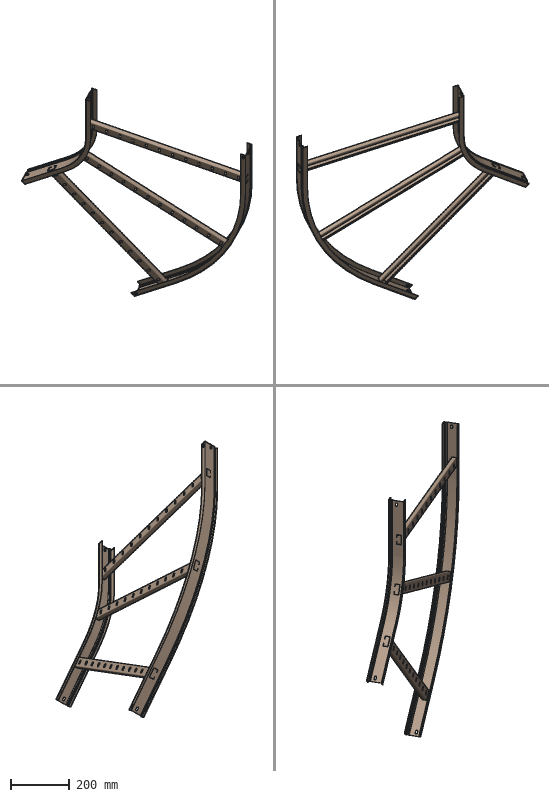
import cadquery as cq
import math


BEND_ANGLE = 45.0
INNER_RADIUS = 300.0
LADDER_WIDTH = 600.85
OUTER_RADIUS = INNER_RADIUS + LADDER_WIDTH
LEG_LENGTH = 216.65

RAIL_HEIGHT = 55.0
RAIL_BACK = RAIL_HEIGHT / 2
RAIL_FRONT = -RAIL_HEIGHT / 2
FLANGE_WIDTH = 18.5
SHEET = 2.0

GROOVE_DEPTH = 3.5
GROOVE_START = 3.0
GROOVE_END = 13.0

END_HOLE_WIDTH = 7.0
END_HOLE_LENGTH = 13.0
END_HOLE_SETBACK = 15.0
END_HOLE_Y = -1.0
LOW_HOLE_Y = -9.0

RUNG_WIDTH = 37.0
RUNG_DEPTH = 18.0
RUNG_SHEET = 1.0
RUNG_LIP = 10.0
RUNG_BEND_RADIUS = 3.0
RUNG_FRONT = RAIL_FRONT + 8.5
RUNG_BACK = RUNG_FRONT + RUNG_DEPTH
RUNG_SETBACK = 150.0
RUNG_OFFSET = LEG_LENGTH - RUNG_SETBACK

SLOT_COUNT = 12
SLOT_PITCH = 49.5
FIRST_SLOT = 26.0
SLOT_WIDTH = 8.0
SLOT_LENGTH = 15.0

CUT_REACH = 4.0
GROOVE_WALL_ANGLE = 45.0


def turn(body, angle):
    """Swing a body around the bend axis, clockwise seen from -Y."""
    return body.rotate((0, 0, 0), (0, 1, 0), angle)


def rail_profile(radius, inward):
    """Channel section on the XY plane: web at X = radius, flanges pointing along `inward` (+1 or -1)."""
    mouth_back = RAIL_BACK - GROOVE_START
    mouth_front = RAIL_BACK - GROOVE_END
    floor_back = mouth_back - GROOVE_DEPTH
    floor_front = mouth_front + GROOVE_DEPTH
    shift = SHEET * math.tan(math.radians(GROOVE_WALL_ANGLE / 2))
    outside = [
        (FLANGE_WIDTH, RAIL_FRONT),
        (0, RAIL_FRONT),
        (0, mouth_front),
        (GROOVE_DEPTH, floor_front),
        (GROOVE_DEPTH, floor_back),
        (0, mouth_back),
        (0, RAIL_BACK),
        (FLANGE_WIDTH, RAIL_BACK),
    ]
    inside = [
        (FLANGE_WIDTH, RAIL_BACK - SHEET),
        (SHEET, RAIL_BACK - SHEET),
        (SHEET, mouth_back + shift),
        (GROOVE_DEPTH + SHEET, floor_back + shift),
        (GROOVE_DEPTH + SHEET, floor_front - shift),
        (SHEET, mouth_front - shift),
        (SHEET, RAIL_FRONT + SHEET),
        (FLANGE_WIDTH, RAIL_FRONT + SHEET),
    ]
    points = [(radius + inward * depth, y) for depth, y in outside + inside]
    return cq.Workplane("XY").polyline(points).close()


def web_hole(radius, hole_y):
    """Cutter for the slotted hole through the web near the free end of the upper leg."""
    hole_z = LEG_LENGTH - END_HOLE_SETBACK
    return (
        cq.Workplane("YZ", origin=(radius, hole_y, hole_z))
        .slot2D(END_HOLE_LENGTH, END_HOLE_WIDTH, 90)
        .extrude(CUT_REACH, both=True)
    )


def flange_hole(radius, inward):
    """Cutter for the slotted hole through the front flange near the free end of the upper leg."""
    hole_x = radius + inward * FLANGE_WIDTH / 2
    hole_z = LEG_LENGTH - END_HOLE_SETBACK
    return (
        cq.Workplane("XZ", origin=(hole_x, RAIL_FRONT, hole_z))
        .slot2D(END_HOLE_LENGTH, END_HOLE_WIDTH, 90)
        .extrude(CUT_REACH, both=True)
    )


def mirrored_at_bend(body):
    """The same body on the lower leg: mirrored end for end and swung round the bend."""
    return turn(body.mirror("XY"), BEND_ANGLE)


def cut_all(body, holes):
    for hole in holes:
        body = body.cut(hole)
    return body


def make_rail(radius, inward, upper_holes, lower_holes):
    """Two straight legs and the bend between them; both hole sets are placed as on the upper leg."""
    leg = rail_profile(radius, inward).extrude(LEG_LENGTH)
    bend = rail_profile(radius, inward).revolve(BEND_ANGLE, (0, 0, 0), (0, 1, 0))
    upper_leg = cut_all(leg, upper_holes)
    lower_leg = mirrored_at_bend(cut_all(leg, lower_holes))
    return upper_leg.union(bend).union(lower_leg)


def make_rung():
    """C-channel along X between the rails, closed side to the front, lips at the back."""
    length = LADDER_WIDTH - SHEET
    middle_x = INNER_RADIUS + length / 2
    slots_x = INNER_RADIUS + FIRST_SLOT + SLOT_PITCH * (SLOT_COUNT - 1) / 2
    middle_y = (RUNG_FRONT + RUNG_BACK) / 2
    tube = (
        cq.Workplane("YZ", origin=(INNER_RADIUS, middle_y, 0))
        .rect(RUNG_DEPTH, RUNG_WIDTH)
        .extrude(length)
        .edges("|X")
        .fillet(RUNG_BEND_RADIUS)
    )
    bore = (
        cq.Workplane("YZ", origin=(INNER_RADIUS, middle_y, 0))
        .rect(RUNG_DEPTH - 2 * RUNG_SHEET, RUNG_WIDTH - 2 * RUNG_SHEET)
        .extrude(length)
        .edges("|X")
        .fillet(RUNG_BEND_RADIUS - RUNG_SHEET)
    )
    mouth = cq.Workplane("XY").box(length, 2 * RUNG_BEND_RADIUS, RUNG_WIDTH - 2 * RUNG_LIP)
    slots = (
        cq.Workplane("XZ", origin=(slots_x, RUNG_FRONT, 0))
        .rarray(SLOT_PITCH, 1, SLOT_COUNT, 1)
        .slot2D(SLOT_LENGTH, SLOT_WIDTH, 90)
        .extrude(CUT_REACH, both=True)
    )
    return tube.cut(bore).cut(mouth.translate((middle_x, RUNG_BACK, 0))).cut(slots)


def make_rungs():
    """One rung across each leg and one across the middle of the bend."""
    rung = make_rung()
    upper = rung.translate((0, 0, RUNG_OFFSET))
    lower = mirrored_at_bend(upper)
    between_webs = (
        cq.Workplane("XZ")
        .circle(OUTER_RADIUS - SHEET)
        .circle(INNER_RADIUS)
        .extrude(RAIL_HEIGHT, both=True)
    )
    middle = turn(rung, BEND_ANGLE / 2).intersect(between_webs)
    return [upper, middle, lower]


rungs = make_rungs()
inner_hole = web_hole(INNER_RADIUS, END_HOLE_Y)
inner_rail = make_rail(INNER_RADIUS, 1, [inner_hole], [inner_hole])
outer_flange_hole = flange_hole(OUTER_RADIUS, -1)
outer_rail = make_rail(
    OUTER_RADIUS,
    -1,
    [web_hole(OUTER_RADIUS, END_HOLE_Y), outer_flange_hole],
    [web_hole(OUTER_RADIUS, LOW_HOLE_Y), outer_flange_hole],
)

for rung in rungs:
    inner_rail = inner_rail.cut(rung)

result = cq.Compound.makeCompound(
    [inner_rail.val(), outer_rail.val()] + [rung.val() for rung in rungs]
)